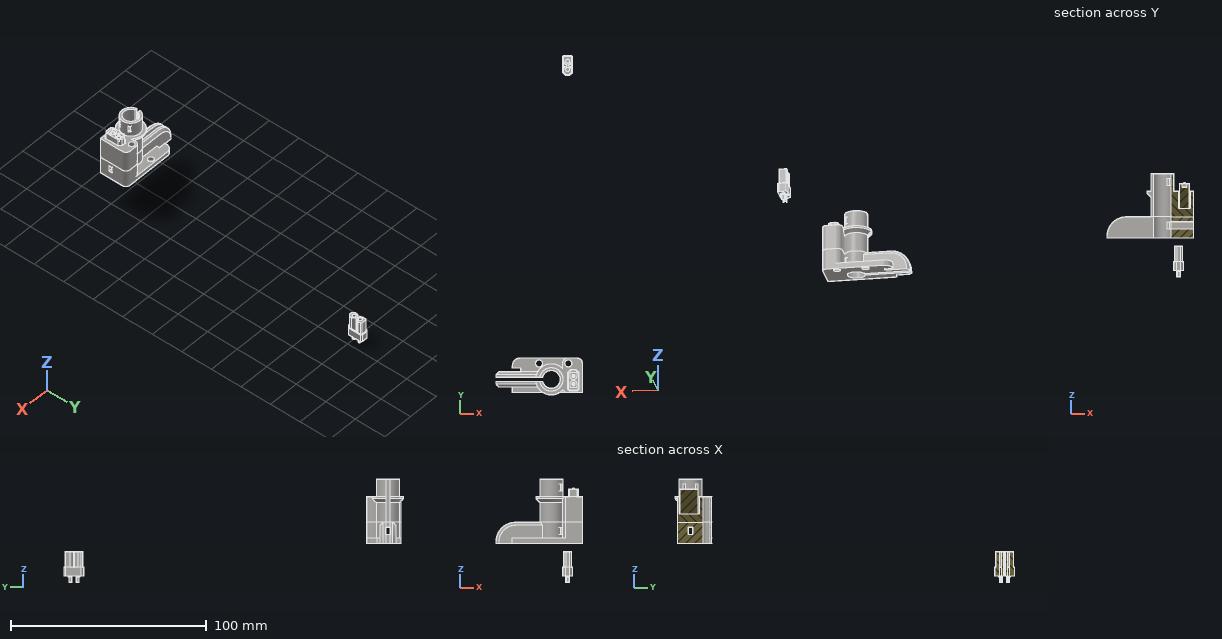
import cadquery as cq
import math

base_height = 3.0
split_height = 11.0
block_top = 24.0
tube_top = 33.0

tube_radius = 5.99
bore_radius = 4.5
slot_width = 2.0
flange_radius = 8.0
flange_rim = 1.0

base_left = -20.0
block_left = 5.7
block_right = 16.0
block_front = -6.8
block_back = 11.0
base_corner_radius = 4.0
block_corner_radius = 2.8
block_front_chamfer = 1.5
notch_right = -15.6
notch_back = 5.7

screw_hole_diameter = 3.5
screw_hole_y = 8.2
plate_hole_x = -6.3
block_hole_x = 8.7

arm_tip = -28.3
arm_half_width = 4.0
arm_nose_radius = 10.0
arm_chamfer = 1.5

tie_slot_inner = 2.6
tie_slot_outer = 3.8
tie_slot_height = 3.6
lower_tie_bottom = 4.7
upper_tie_bottom = 26.9

connector_width = 5.2
connector_length = 10.2
connector_height = 12.5
connector_nose_flat = 2.0
connector_nose_depth = 1.4
connector_edge_chamfer = 0.7
contact_pitch = 4.2
contact_diameter = 2.0

header_x = 11.3
header_y = -0.3
header_top = 27.8
header_clearance = 0.3
header_cavity_width = 3.6
header_pin_diameter = 1.65
header_cavity_depth = 1.7
header_pin_rise = 0.5
header_pin_point = 0.5

plug_x = 8.3
plug_back = 165.6
plug_y = plug_back - connector_length / 2
plug_bottom = -16.7
plug_base_height = 4.7
plug_sleeve_width = 4.2
plug_sleeve_round_radius = 1.9
plug_nose_inset = 0.5
plug_web_thickness = 1.0
plug_gap_half_width = 1.82
contact_bottom = -19.8
cup_diameter = 1.65
cup_top = -17.0
cup_wall_offset = 0.5


def box(x_range, y_range, z_range):
    """A box between two limits on each axis."""
    sizes = [high - low for low, high in (x_range, y_range, z_range)]
    corner = (x_range[0], y_range[0], z_range[0])
    return cq.Workplane("XY").box(*sizes, centered=False).translate(corner)


def cylinder(radius, bottom, top, x=0, y=0):
    """An upright cylinder."""
    return cq.Workplane("XY", origin=(x, y, bottom)).circle(radius).extrude(top - bottom)


def connector_block(bottom, top):
    """The block beside the tube: rounded at the back, chamfered at the front left corner."""
    block = box((block_left, block_right), (block_front, block_back), (bottom, top))
    block = block.edges("|Z and >Y").fillet(block_corner_radius)
    return block.edges("|Z and <X and <Y").chamfer(block_front_chamfer)


def screw_hole(x):
    return cylinder(screw_hole_diameter / 2, 0, block_top, x, screw_hole_y)


def cable_channel():
    """The bore of the tube and the slot that opens it towards the arm tips."""
    bore = cylinder(bore_radius, 0, tube_top)
    slot = box((arm_tip, 0), (-slot_width / 2, slot_width / 2), (0, tube_top))
    return bore.union(slot)


def tie_slots(bottom):
    """Two slots through the tube wall, one on each side of the bore."""
    slot = box(
        (0, block_left),
        (tie_slot_inner, tie_slot_outer),
        (bottom, bottom + tie_slot_height),
    )
    return slot.union(slot.mirror("XZ"))


def base_plate():
    plate = box((base_left, block_right), (block_front, block_back), (0, base_height))
    plate = plate.edges("|Z and <X and >Y").fillet(base_corner_radius)
    plate = plate.edges("|Z and >X and >Y").fillet(block_corner_radius)
    notch = box((base_left, notch_right), (arm_half_width, notch_back), (0, base_height))
    return plate.cut(notch)


def guide_arms():
    """A rounded nose with chamfered outer edges; the cable slot later splits it into two arms."""
    nose_start = split_height - arm_nose_radius
    profile = (
        cq.Workplane("XZ", origin=(0, arm_half_width, 0))
        .moveTo(0, 0)
        .lineTo(arm_tip, 0)
        .lineTo(arm_tip, nose_start)
        .radiusArc((arm_tip + arm_nose_radius, split_height), arm_nose_radius)
        .lineTo(0, split_height)
        .close()
    )
    arms = profile.extrude(2 * arm_half_width)
    outer_edges = arms.faces("|Y").edges("not(<Z or >X)")
    return outer_edges.chamfer(arm_chamfer)


def make_lower_housing():
    window = box(
        (0, block_right),
        (-slot_width / 2, slot_width / 2),
        (lower_tie_bottom, lower_tie_bottom + tie_slot_height),
    )
    return (
        base_plate()
        .union(connector_block(0, split_height))
        .union(cylinder(tube_radius, 0, split_height))
        .union(guide_arms())
        .cut(cable_channel())
        .cut(window)
        .cut(tie_slots(lower_tie_bottom))
        .cut(screw_hole(plate_hole_x))
        .cut(screw_hole(block_hole_x))
    )


def connector_outline(nose_direction):
    """Outline around the origin: a tapered nose at one Y end, small chamfers at the other."""
    side = connector_width / 2
    end = connector_length / 2
    points = [
        (side - connector_edge_chamfer, -end),
        (side, connector_edge_chamfer - end),
        (side, end - connector_nose_depth),
        (connector_nose_flat / 2, end),
    ]
    mirrored = [(-x, y) for x, y in reversed(points)]
    return [(x, y * nose_direction) for x, y in points + mirrored]


def contact_places():
    return [contact_pitch / 2, -contact_pitch / 2]


def sleeve_section(half_width, reach, round_radius, y, bottom, top):
    """A column around a contact: square towards the connector's end, round towards its middle."""
    end = y + math.copysign(reach, y)
    square = box((-half_width, half_width), sorted((y, end)), (bottom, top))
    return square.union(cylinder(round_radius, bottom, top, 0, y))


header_bottom = header_top - connector_height


def make_header():
    body = cq.Workplane("XY").workplane(offset=header_bottom).polyline(connector_outline(1)).close()
    body = body.extrude(connector_height)
    cavity_floor = header_top - header_cavity_depth
    half_width = header_cavity_width / 2
    for y in contact_places():
        cavity = sleeve_section(half_width, half_width, half_width, y, cavity_floor, header_top)
        body = body.cut(cavity)
        pin = cylinder(header_pin_diameter / 2, cavity_floor, header_top + header_pin_rise, 0, y)
        body = body.union(pin.faces(">Z").chamfer(header_pin_point))
    return body.translate((header_x, header_y, 0))


def header_recess():
    outline = cq.Workplane("XY", origin=(header_x, header_y, header_bottom))
    outline = outline.polyline(connector_outline(1)).close()
    return outline.offset2D(header_clearance, "intersection").extrude(connector_height)


def flange():
    """A collar with a conical underside."""
    overhang = flange_radius - tube_radius
    return (
        cq.Workplane("XZ")
        .moveTo(0, block_top)
        .lineTo(flange_radius, block_top)
        .lineTo(flange_radius, block_top - flange_rim)
        .lineTo(tube_radius, block_top - flange_rim - overhang)
        .lineTo(0, block_top - flange_rim - overhang)
        .close()
        .revolve(360, (0, 0, 0), (0, 1, 0))
    )


def make_upper_housing():
    return (
        cylinder(tube_radius, split_height, tube_top)
        .union(connector_block(split_height, block_top))
        .union(flange())
        .cut(cable_channel())
        .cut(tie_slots(upper_tie_bottom))
        .cut(screw_hole(block_hole_x))
        .cut(header_recess())
    )


plug_top = plug_bottom + connector_height
plug_step = plug_bottom + plug_base_height


def sleeve_nose_cutter():
    """Trims the sleeve corners at the tapered end of the plug."""
    outline = cq.Workplane("XY", origin=(0, 0, plug_bottom)).polyline(connector_outline(-1)).close()
    inset = outline.offset2D(-plug_nose_inset, "intersection")
    return inset.extrude(connector_height)


def make_plug():
    half_width = plug_sleeve_width / 2
    reach = (connector_length - contact_pitch) / 2
    base = cq.Workplane("XY", origin=(0, 0, plug_bottom)).polyline(connector_outline(-1)).close()
    base = base.extrude(plug_base_height)
    gap = box(
        (-plug_gap_half_width, plug_gap_half_width),
        (-contact_pitch / 2, contact_pitch / 2),
        (plug_bottom, plug_step),
    )
    sleeves = box(
        (-plug_web_thickness / 2, plug_web_thickness / 2),
        (-contact_pitch / 2, contact_pitch / 2),
        (plug_bottom, plug_top),
    )
    for y in contact_places():
        sleeve = sleeve_section(
            half_width, reach, plug_sleeve_round_radius, y, plug_bottom, plug_top
        )
        sleeves = sleeves.union(sleeve)
    sleeves = sleeves.intersect(sleeve_nose_cutter())
    plug = base.cut(gap).union(sleeves)
    for y in contact_places():
        plug = plug.cut(cylinder(contact_diameter / 2, plug_bottom, plug_top, 0, y))
    return plug.translate((plug_x, plug_y, 0))


def make_contact(y):
    """A round contact filling the foot of its sleeve, with a solder cup open on its outer side."""
    radius = contact_diameter / 2
    contact = cylinder(radius, contact_bottom, plug_step, 0, y)
    cup = cylinder(cup_diameter / 2, contact_bottom, cup_top, 0, y)
    direction = math.copysign(1, y)
    opening = box(
        (-radius, radius),
        sorted((y + direction * cup_wall_offset, y + direction * radius)),
        (contact_bottom, cup_top),
    )
    return contact.cut(cup).cut(opening).translate((plug_x, plug_y, 0))


lower_housing = make_lower_housing()
upper_housing = make_upper_housing()
header = make_header()
plug = make_plug()
contacts = [make_contact(y).val() for y in contact_places()]

result = cq.Compound.makeCompound(
    [lower_housing.val(), upper_housing.val(), header.val(), plug.val(), *contacts]
)